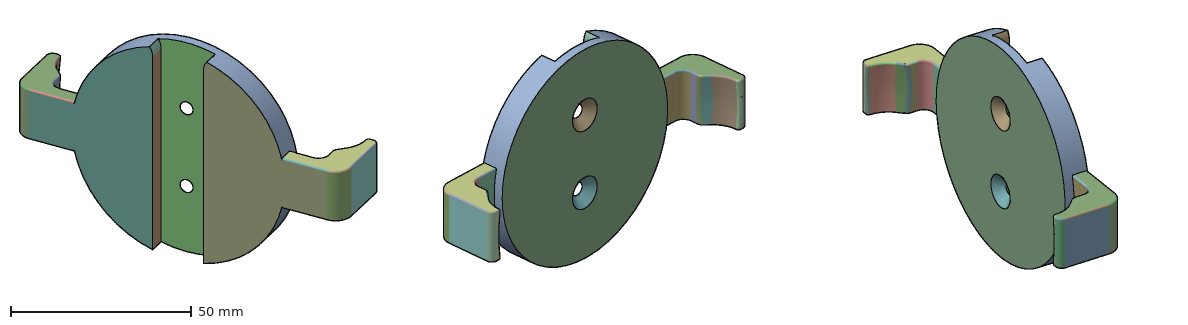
import cadquery as cq
import math

plate_diameter = 67.24
plate_radius = plate_diameter / 2
plate_thickness = 8.0

channel_width = 16.0
channel_depth = 5.0
channel_flare = 1.0
channel_flare_radius = 5.0

hole_diameter = 4.0
hole_spacing = 25.0
countersink_diameter = 10.0

overall_width = 104.0
arm_reach = 21.4
arm_height = 16.0
arm_thickness = 5.0
arm_outer_radius = 5.0
arm_inner_radius = 3.0
arm_edge_round = 0.5
upright_width = 9.0
shoulder_slope = math.radians(45)
shoulder_blend_radius = 2.0
tip_outer_radius = 2.0
tip_inner_radius = 1.0

grip_diameter = 97.4
grip_radius = 9.5

half_channel = channel_width / 2


def make_plate():
    """Disc with its axis along Y, from Y = 0 to the plate thickness."""
    return cq.Workplane("XZ").circle(plate_radius).extrude(-plate_thickness)


def make_channel():
    """Channel cutter with straight walls that flare out along arcs at the top rim."""
    flared_half = half_channel + channel_flare
    rim_z = math.sqrt(plate_radius**2 - flared_half**2)
    turn = math.acos(1 - channel_flare / channel_flare_radius)
    flare_start_z = rim_z - channel_flare_radius * math.sin(turn)
    mid_x = half_channel + channel_flare_radius * (1 - math.cos(turn / 2))
    mid_z = flare_start_z + channel_flare_radius * math.sin(turn / 2)
    return (
        cq.Workplane("XZ")
        .moveTo(-half_channel, -plate_radius)
        .lineTo(half_channel, -plate_radius)
        .lineTo(half_channel, flare_start_z)
        .threePointArc((mid_x, mid_z), (flared_half, rim_z))
        .lineTo(flared_half, plate_radius)
        .lineTo(-flared_half, plate_radius)
        .lineTo(-flared_half, rim_z)
        .threePointArc((-mid_x, mid_z), (-half_channel, flare_start_z))
        .close()
        .extrude(-channel_depth)
    )


def make_holes():
    """Two through holes on the vertical centre line, countersunk from the back through the channel floor."""
    floor_thickness = plate_thickness - channel_depth
    centres = [(0, -hole_spacing / 2), (0, hole_spacing / 2)]
    countersink = cq.Solid.makeCone(
        hole_diameter / 2,
        countersink_diameter / 2,
        floor_thickness,
        pnt=cq.Vector(0, channel_depth, 0),
        dir=cq.Vector(0, 1, 0),
    )
    holes = cq.Workplane("XY")
    for x, z in centres:
        holes = holes.add(countersink.moved(cq.Location(cq.Vector(x, 0, z))))
    return holes.combine()


def make_grip_hollow():
    """Turned space between the arm tips, so that the grips are curved around the Y axis."""
    tip_x = grip_diameter / 2
    tip_round_x = tip_x + tip_inner_radius

    grip_start_y = arm_reach - tip_inner_radius
    grip_center_x = tip_x - grip_radius
    grip_mid = (
        grip_center_x + grip_radius * math.cos(shoulder_slope / 2),
        grip_start_y - grip_radius * math.sin(shoulder_slope / 2),
    )
    grip_end = (
        grip_center_x + grip_radius * math.cos(shoulder_slope),
        grip_start_y - grip_radius * math.sin(shoulder_slope),
    )

    slope_end_y = arm_thickness + arm_inner_radius
    slope_end_x = grip_end[0] - (grip_end[1] - slope_end_y) / math.tan(shoulder_slope)

    return (
        cq.Workplane("XY")
        .moveTo(0, slope_end_y)
        .lineTo(slope_end_x, slope_end_y)
        .lineTo(*grip_end)
        .threePointArc(grip_mid, (tip_x, grip_start_y))
        .radiusArc((tip_round_x, arm_reach), tip_inner_radius)
        .lineTo(0, arm_reach)
        .close()
        .revolve(360, (0, 0, 0), (0, 1, 0))
    )


def make_arms():
    """Both arms as one U-shaped bar, hollowed at the grips and rounded along its upper and lower sides."""
    bar = cq.Workplane("XY").box(overall_width, arm_reach, arm_height).translate((0, arm_reach / 2, 0))
    bar = bar.edges("|Z and <Y").fillet(arm_outer_radius)
    bar = bar.edges("|Z and >Y").fillet(tip_outer_radius)

    opening_width = overall_width - 2 * upright_width
    opening_depth = arm_reach - arm_thickness
    opening = (
        cq.Workplane("XY")
        .box(opening_width, opening_depth, arm_height)
        .translate((0, arm_thickness + opening_depth / 2, 0))
        .edges("|Z and <Y")
        .fillet(arm_inner_radius)
    )
    arms = bar.cut(opening).cut(make_grip_hollow())

    margin = 0.01
    inner_walls = cq.selectors.BoxSelector(
        (-opening_width / 2 - margin, 0, -arm_height),
        (opening_width / 2 + margin, arm_reach, arm_height),
    )
    shoulders = arms.faces("|X").faces(inner_walls).edges("not |Z").edges("not |Y")
    arms = arms.newObject(shoulders.vals()).fillet(shoulder_blend_radius)
    return arms.faces("<Z or >Z").edges().fillet(arm_edge_round)


result = make_plate().union(make_arms()).cut(make_channel()).cut(make_holes())